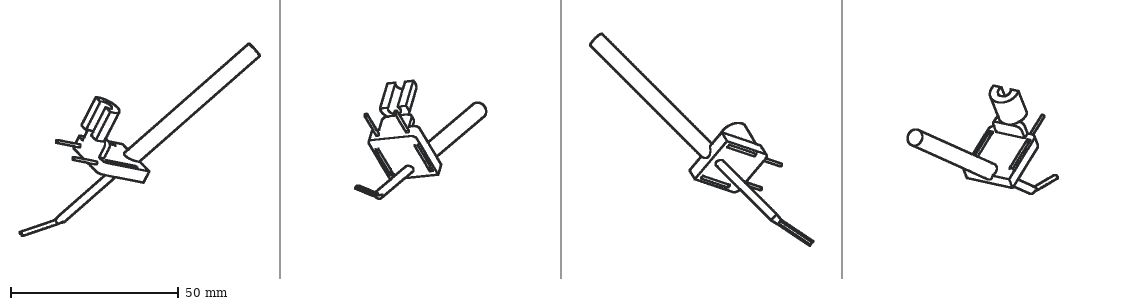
import cadquery as cq
import math

OVERALL_LENGTH = 81.8

TILT = 30.0

PLATE_WIDTH = 16.0
PLATE_LENGTH = 18.0
PLATE_THICKNESS = 4.0
CORNER_RADIUS = 1.5

SLOT_WIDTH = 1.1
SLOT_LENGTH = 10.1
SLOT_X = 6.55
SLOT_CENTER_Y = 8.9
SLOT_CUT_HEIGHT = 49.1

NECK_WIDTH = 10.0
NECK_DEPTH = 2.0
NECK_HEIGHT = 5.0

HOLDER_RADIUS = 4.5
HOLDER_LENGTH = 10.0
HOLDER_BORE_RADIUS = 2.0
HOLDER_SLOT_WIDTH = 3.0
HOLDER_FLAT_OFFSET = 1.2
HOLDER_CENTER_Y = NECK_DEPTH - HOLDER_RADIUS
HOLDER_BASE_Z = PLATE_THICKNESS + NECK_HEIGHT

PIN_DIAMETER = 1.0
PIN_LENGTH = 9.0
PIN_X = 5.0

ROD_DIAMETER = 5.0
ROD_TIP_DIAMETER = 2.5
ROD_LENGTH = 76.95
ROD_TIP_LENGTH = 25.9
ROD_END_Y = -8.2
ROD_END_Z = -18.9

BLADE_OUTER_RADIUS = 0.9
BLADE_INNER_RADIUS = 0.5
BLADE_BASE_Z = -19.55
BLADE_START_Y = -10.1
ROD_BACK_Y = (
    ROD_END_Y
    + ROD_LENGTH * math.cos(math.radians(TILT))
    + ROD_DIAMETER / 2 * math.sin(math.radians(TILT))
)
BLADE_LENGTH = OVERALL_LENGTH - (ROD_BACK_Y - BLADE_START_Y)


def make_plate():
    plate = cq.Workplane("XY").box(
        PLATE_WIDTH, PLATE_LENGTH, PLATE_THICKNESS, centered=(True, False, False)
    )
    return plate.edges("|Z and <Y").fillet(CORNER_RADIUS)


def make_neck():
    neck = (
        cq.Workplane("XY")
        .workplane(offset=PLATE_THICKNESS)
        .box(NECK_WIDTH, NECK_DEPTH, NECK_HEIGHT, centered=(True, False, False))
    )
    return neck.edges("|Y and >Z").fillet(CORNER_RADIUS)


def make_holder():
    base = cq.Workplane("XY", origin=(0, HOLDER_CENTER_Y, HOLDER_BASE_Z))
    body = base.circle(HOLDER_RADIUS).circle(HOLDER_BORE_RADIUS).extrude(HOLDER_LENGTH)
    flat = (
        base.center(0, -HOLDER_FLAT_OFFSET - HOLDER_RADIUS / 2)
        .rect(2 * HOLDER_RADIUS, HOLDER_RADIUS)
        .extrude(HOLDER_LENGTH)
    )
    slot = (
        base.center(0, -HOLDER_RADIUS / 2)
        .rect(HOLDER_SLOT_WIDTH, HOLDER_RADIUS)
        .extrude(HOLDER_LENGTH)
    )
    return body.cut(flat).cut(slot)


def make_pins():
    return (
        cq.Workplane("XZ", origin=(0, PIN_DIAMETER, PLATE_THICKNESS / 2))
        .pushPoints([(-PIN_X, 0), (PIN_X, 0)])
        .circle(PIN_DIAMETER / 2)
        .extrude(PIN_LENGTH + PIN_DIAMETER)
    )


def make_slots():
    return (
        cq.Workplane("XY", origin=(0, SLOT_CENTER_Y, -SLOT_CUT_HEIGHT / 2))
        .pushPoints([(-SLOT_X, 0), (SLOT_X, 0)])
        .rect(SLOT_WIDTH, SLOT_LENGTH)
        .extrude(SLOT_CUT_HEIGHT)
    )


def rod_end_plane():
    angle = math.radians(TILT)
    return cq.Plane(
        origin=(0, ROD_END_Y, ROD_END_Z),
        xDir=(1, 0, 0),
        normal=(0, math.cos(angle), math.sin(angle)),
    )


def make_rod():
    end = cq.Workplane(rod_end_plane())
    tip = end.circle(ROD_TIP_DIAMETER / 2).extrude(ROD_TIP_LENGTH)
    shank = (
        end.workplane(offset=ROD_TIP_LENGTH)
        .circle(ROD_DIAMETER / 2)
        .extrude(ROD_LENGTH - ROD_TIP_LENGTH)
    )
    return tip.union(shank)


def make_transition():
    rod_plane = rod_end_plane()
    rod_radius = ROD_TIP_DIAMETER / 2

    left = rod_plane.toWorldCoords((-rod_radius, 0))
    right = rod_plane.toWorldCoords((rod_radius, 0))
    low = rod_plane.toWorldCoords((0, rod_radius))
    high = rod_plane.toWorldCoords((0, -rod_radius))
    round_end = cq.Wire.assembleEdges([
        cq.Edge.makeThreePointArc(left, high, right),
        cq.Edge.makeThreePointArc(right, low, left),
    ])

    blade_left = cq.Vector(-BLADE_OUTER_RADIUS, BLADE_START_Y, BLADE_BASE_Z)
    blade_right = cq.Vector(BLADE_OUTER_RADIUS, BLADE_START_Y, BLADE_BASE_Z)
    blade_top = cq.Vector(0, BLADE_START_Y, BLADE_BASE_Z + BLADE_OUTER_RADIUS)
    half_disc = cq.Wire.assembleEdges([
        cq.Edge.makeThreePointArc(blade_left, blade_top, blade_right),
        cq.Edge.makeLine(blade_right, blade_left),
    ])
    return cq.Workplane(cq.Solid.makeLoft([round_end, half_disc], True))


def make_blade():
    return (
        cq.Workplane("XZ", origin=(0, BLADE_START_Y, BLADE_BASE_Z))
        .moveTo(-BLADE_OUTER_RADIUS, 0)
        .threePointArc((0, BLADE_OUTER_RADIUS), (BLADE_OUTER_RADIUS, 0))
        .lineTo(BLADE_INNER_RADIUS, 0)
        .threePointArc((0, BLADE_INNER_RADIUS), (-BLADE_INNER_RADIUS, 0))
        .close()
        .extrude(BLADE_LENGTH)
    )


head = make_plate().union(make_neck()).union(make_holder()).union(make_pins())
head = head.rotate((0, 0, 0), (1, 0, 0), -TILT).cut(make_slots())
result = head.union(make_rod()).union(make_transition()).union(make_blade())